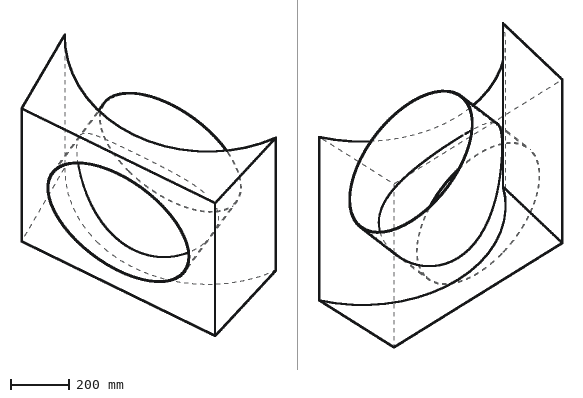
import cadquery as cq

block_height = 775.0
base_width = 775.0
tip_width = 845.0
tip_depth = 345.0
web_depth = 103.0
tube_length = tip_depth
tube_outer_radius = 284.0
tube_wall = 3.0


def along_y(radius, length):
    """Solid cylinder on the Y axis, starting at the flat face."""
    return cq.Workplane("XZ").circle(radius).extrude(-length)


def make_saddle_block():
    """Flared block with a concave cylindrical back and a bore for the tube."""
    profile = (
        cq.Workplane("XY")
        .workplane(offset=-block_height / 2)
        .moveTo(-base_width / 2, 0)
        .lineTo(base_width / 2, 0)
        .lineTo(tip_width / 2, tip_depth)
        .threePointArc((0, web_depth), (-tip_width / 2, tip_depth))
        .close()
    )
    return profile.extrude(block_height).cut(along_y(tube_outer_radius, tube_length))


def make_tube():
    """Thin-walled straight tube lining the bore and standing out of the saddle."""
    bore = along_y(tube_outer_radius - tube_wall, tube_length)
    return along_y(tube_outer_radius, tube_length).cut(bore)


saddle_block = make_saddle_block()
tube = make_tube()

result = cq.Compound.makeCompound([saddle_block.val(), tube.val()])